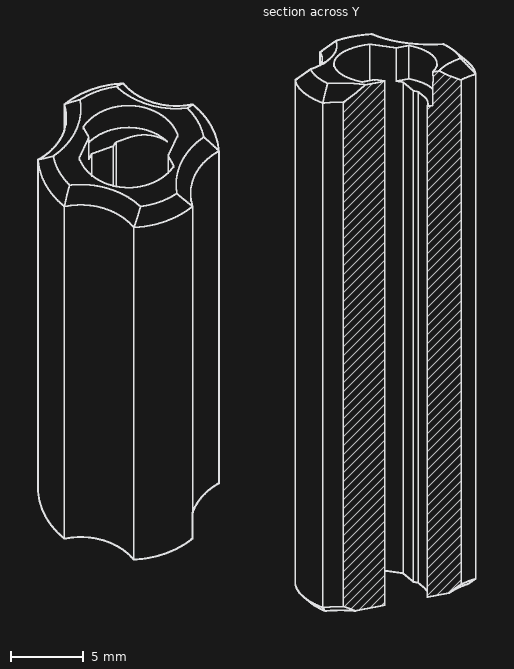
import cadquery as cq
import math

LENGTH = 39.38
BODY_RADIUS = 6.25
LOBE_COUNT = 4
LOBE_HALF_WIDTH = 2.22
FLUTE_FLOOR_RADIUS = 4.88
TOP_CHAMFER = 1.0
BOTTOM_CHAMFER = 0.5

BORE_RADIUS = 7.1 / 2
SOCKET_DEPTH = 2.5
FLAT_DISTANCE = 2.83
LEDGE_Y = 2.16
NARROW_X = 2.2
WIDE_X = 2.43
JOG_HALF_HEIGHT = 0.15
CORNER_RADIUS = 2.5
PASSAGE_HALF_HEIGHT = 3.65

CUT_MARGIN = 1.0

FLAT_SUM = FLAT_DISTANCE * math.sqrt(2)


def turned(points):
    """Return the points turned half a turn about the axis."""
    return [(-x, -y) for x, y in points]


def fluted_body():
    """Fluted bar, chamfered at both ends."""
    lobe_corner = math.sqrt(BODY_RADIUS**2 - LOBE_HALF_WIDTH**2)
    flute_mid = FLUTE_FLOOR_RADIUS / math.sqrt(2)
    outline = cq.Workplane("XY").moveTo(lobe_corner, -LOBE_HALF_WIDTH)
    quarter_points = (
        (BODY_RADIUS, 0),
        (lobe_corner, LOBE_HALF_WIDTH),
        (flute_mid, flute_mid),
        (LOBE_HALF_WIDTH, lobe_corner),
    )
    for quarter in range(LOBE_COUNT):
        cos_turn = round(math.cos(quarter * math.pi / 2))
        sin_turn = round(math.sin(quarter * math.pi / 2))
        lobe_mid, lobe_end, floor, flute_end = [
            (x * cos_turn - y * sin_turn, x * sin_turn + y * cos_turn)
            for x, y in quarter_points
        ]
        outline = outline.threePointArc(lobe_mid, lobe_end).threePointArc(floor, flute_end)
    bar = outline.close().extrude(LENGTH)
    bar = bar.faces(">Z").edges().chamfer(TOP_CHAMFER)
    return bar.faces("<Z").edges().chamfer(BOTTOM_CHAMFER)


def key_pair(points, height):
    """Pair of prisms, half a turn apart, that fill the bore behind its flats."""
    key = cq.Workplane("XY").polyline(points).close().extrude(height)
    return key.union(cq.Workplane("XY").polyline(turned(points)).close().extrude(height))


def socket_cutter():
    """Round socket at the top with a 45-degree flat and a ledge on two opposite sides."""
    height = SOCKET_DEPTH + CUT_MARGIN
    key_points = [
        (FLAT_SUM - BORE_RADIUS, BORE_RADIUS),
        (FLAT_SUM - LEDGE_Y, LEDGE_Y),
        (BORE_RADIUS, LEDGE_Y),
        (BORE_RADIUS, BORE_RADIUS),
    ]
    socket = cq.Workplane("XY").circle(BORE_RADIUS).extrude(height)
    socket = socket.cut(key_pair(key_points, height))
    return socket.translate((0, 0, LENGTH - SOCKET_DEPTH))


def passage_cutter():
    """Keyed passage through the whole bar, unchanged by half a turn about the axis."""
    height = LENGTH + 2 * CUT_MARGIN
    right_side = [
        (FLAT_SUM - PASSAGE_HALF_HEIGHT, PASSAGE_HALF_HEIGHT),
        (NARROW_X, FLAT_SUM - NARROW_X),
        (NARROW_X, JOG_HALF_HEIGHT),
        (WIDE_X, -JOG_HALF_HEIGHT),
        (WIDE_X, -PASSAGE_HALF_HEIGHT),
    ]
    passage = cq.Workplane("XY").polyline(right_side + turned(right_side)).close().extrude(height)
    passage = passage.edges("|Z and (>(1,-1,0) or <(1,-1,0))").fillet(CORNER_RADIUS)
    bore = cq.Workplane("XY").circle(BORE_RADIUS).extrude(height)
    return passage.intersect(bore).translate((0, 0, -CUT_MARGIN))


result = fluted_body().cut(socket_cutter()).cut(passage_cutter())